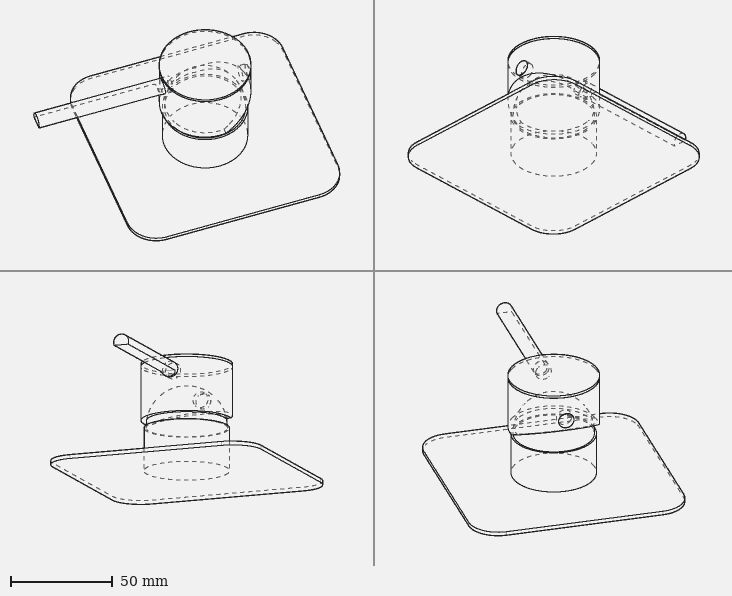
import cadquery as cq
import math

PLATE_SIDE = 110.0
PLATE_THICKNESS = 2.0
PLATE_CORNER_RADIUS = 15.0

SLEEVE_DIAMETER = 42.0
SLEEVE_TOP = 23.6
BALL_RADIUS = 20.0
BALL_CENTRE_Z = 24.3
CAP_DIAMETER = 45.0
CAP_RADIUS = CAP_DIAMETER / 2
COVER_DIAMETER = 45.2
CAP_BOTTOM = 27.3
CAP_TOP = 54.5
TOTAL_HEIGHT = 55.8

RELIEF_START_Y = 2.9
RELIEF_REAR_Z = 36.3

OVERALL_LENGTH = 143.0
LEVER_DIAMETER = 8.0
LEVER_Z = 48.5
LEVER_FLAT_Z = 47.0
LEVER_INSERTION = 4.3
LEVER_STUB = 1.6
LEVER_FILLET = 1.7
LEVER_ROOT_Y = -(CAP_RADIUS - LEVER_INSERTION)
LEVER_STUB_Y = -(CAP_RADIUS + LEVER_STUB)
LEVER_TIP_Y = PLATE_SIDE / 2 - OVERALL_LENGTH

PLUG_DIAMETER = 7.9
PLUG_Z = 41.6
PLUG_DEPTH = 4.0
PLUG_DOME_HEIGHT = 1.1
PLUG_PROTRUSION = 1.0
PLUG_APEX_Y = CAP_RADIUS + PLUG_PROTRUSION


def upright_cylinder(diameter, bottom, top):
    return cq.Workplane("XY").workplane(offset=bottom).circle(diameter / 2).extrude(top - bottom)


def make_plate():
    plate = cq.Workplane("XY").rect(PLATE_SIDE, PLATE_SIDE).extrude(PLATE_THICKNESS)
    return plate.edges("|Z").fillet(PLATE_CORNER_RADIUS)


def make_sleeve():
    return upright_cylinder(SLEEVE_DIAMETER, PLATE_THICKNESS, SLEEVE_TOP)


def make_ball():
    """Ball with its lower part cut flat to sit on the sleeve."""
    sphere = cq.Workplane("XY").sphere(BALL_RADIUS).translate((0, 0, BALL_CENTRE_Z))
    return sphere.intersect(upright_cylinder(CAP_DIAMETER, SLEEVE_TOP, CAP_TOP))


def make_lever():
    """Round bar with its underside cut flat beyond a short full-round stub."""
    bar = (
        cq.Workplane("XZ", origin=(0, LEVER_ROOT_Y, LEVER_Z))
        .circle(LEVER_DIAMETER / 2)
        .extrude(LEVER_ROOT_Y - LEVER_TIP_Y)
    )
    underside = LEVER_Z - LEVER_DIAMETER
    arc_centre_y = LEVER_STUB_Y - LEVER_FILLET
    arc_centre_z = LEVER_FLAT_Z - LEVER_FILLET
    arc_offset = LEVER_FILLET * math.sqrt(0.5)
    relief = (
        cq.Workplane("YZ")
        .moveTo(LEVER_STUB_Y, underside)
        .lineTo(LEVER_STUB_Y, arc_centre_z)
        .threePointArc(
            (arc_centre_y + arc_offset, arc_centre_z + arc_offset),
            (arc_centre_y, LEVER_FLAT_Z),
        )
        .lineTo(LEVER_TIP_Y, LEVER_FLAT_Z)
        .lineTo(LEVER_TIP_Y, underside)
        .close()
        .extrude(LEVER_DIAMETER, both=True)
    )
    return bar.cut(relief)


def make_plug():
    """Round plug revolved about its Y axis, with a domed outer end."""
    radius = PLUG_DIAMETER / 2
    inner_y = CAP_RADIUS - PLUG_DEPTH
    rim_y = PLUG_APEX_Y - PLUG_DOME_HEIGHT
    dome_radius = (radius**2 + PLUG_DOME_HEIGHT**2) / (2 * PLUG_DOME_HEIGHT)
    mid_x = radius / 2
    mid_y = PLUG_APEX_Y - dome_radius + math.sqrt(dome_radius**2 - mid_x**2)
    return (
        cq.Workplane("XY", origin=(0, 0, PLUG_Z))
        .moveTo(0, inner_y)
        .lineTo(radius, inner_y)
        .lineTo(radius, rim_y)
        .threePointArc((mid_x, mid_y), (0, PLUG_APEX_Y))
        .close()
        .revolve(360, (0, 0, 0), (0, 1, 0))
    )


def make_cap(ball, lever, plug):
    """Handle cap with a sloped rear edge and seats for the ball, lever and plug."""
    rear_relief = (
        cq.Workplane("YZ")
        .polyline([(RELIEF_START_Y, CAP_BOTTOM), (CAP_RADIUS, CAP_BOTTOM), (CAP_RADIUS, RELIEF_REAR_Z)])
        .close()
        .extrude(CAP_RADIUS, both=True)
    )
    cap = upright_cylinder(CAP_DIAMETER, CAP_BOTTOM, CAP_TOP).cut(rear_relief)
    return cap.cut(ball).cut(lever).cut(plug)


def make_cover_disc():
    return upright_cylinder(COVER_DIAMETER, CAP_TOP, TOTAL_HEIGHT)


plate = make_plate()
sleeve = make_sleeve()
ball = make_ball()
lever = make_lever()
plug = make_plug()
cap = make_cap(ball, lever, plug)
cover_disc = make_cover_disc()

result = cq.Compound.makeCompound(
    [
        plate.solids().val(),
        sleeve.solids().val(),
        ball.solids().val(),
        cap.solids().val(),
        cover_disc.solids().val(),
        lever.solids().val(),
        plug.solids().val(),
    ]
)